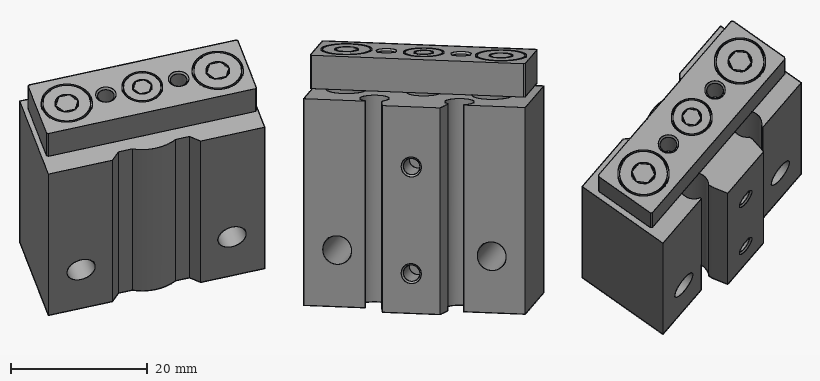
import cadquery as cq
import math


total_height = 37.0
plate_thickness = 5.0
rod_gap = 1.0
housing_height = total_height - plate_thickness - rod_gap
housing_depth = 15.0
housing_width = 33.0
half_depth = housing_depth / 2
half_width = housing_width / 2

rail_projection = 2.5
rail_front_half_width = 4.3
rail_root_half_width = 4.9
slot_radius = 2.15
slot_center_x = -5.35
slot_center_y = 6.33
slot_mouth_half_width = 7.33

recess_depth = 1.35
recess_floor_half_width = 5.4
belly_radius = 7.0

guide_spacing = 23.0
cross_hole_diameter = 4.3
cross_hole_height = 8.5
port_diameter = 2.45
port_mouth_diameter = 3.0
port_depth = 5.0
port_heights = (6.0, 21.98)
countersink_angle = 45

plate_depth = 10.0
plate_width = 32.0
plate_corner_chamfer = 0.22
plate_hole_spacing = 11.1
plate_hole_diameter = 2.45
plate_hole_mouth_diameter = 3.0
guide_rod_diameter = 6.0
guide_rod_offset = 1.3
piston_rod_diameter = 5.0

groove_depth = 0.5
hex_sides = 6
guide_head_hole = 7.5
guide_head_diameter = 7.0
guide_socket_diameter = 3.48
guide_hex_flats = 2.95
piston_head_hole = 6.0
piston_head_diameter = 5.5
piston_socket_diameter = 2.9
piston_hex_flats = 2.45


def countersunk_cutter(plane, points, diameter, mouth_diameter, depth):
    """Round holes along -normal from the plane, each with a conical mouth."""
    mouth_depth = (mouth_diameter - diameter) / 2
    bores = cq.Workplane(plane).pushPoints(points).circle(diameter / 2).extrude(-depth)
    mouths = (
        cq.Workplane(plane)
        .pushPoints(points)
        .circle(mouth_diameter / 2)
        .extrude(-mouth_depth, taper=countersink_angle)
    )
    return bores.union(mouths)


def housing_block():
    """Main block with the belly recess in its +X face."""
    floor_x = half_depth - recess_depth
    recess_mouth_half_width = recess_floor_half_width + recess_depth
    belly_half_width = math.sqrt(belly_radius**2 - floor_x**2)
    return (
        cq.Workplane("XY")
        .moveTo(-half_depth, -half_width)
        .lineTo(half_depth, -half_width)
        .lineTo(half_depth, -recess_mouth_half_width)
        .lineTo(floor_x, -recess_floor_half_width)
        .lineTo(floor_x, -belly_half_width)
        .threePointArc((belly_radius, 0), (floor_x, belly_half_width))
        .lineTo(floor_x, recess_floor_half_width)
        .lineTo(half_depth, recess_mouth_half_width)
        .lineTo(half_depth, half_width)
        .lineTo(-half_depth, half_width)
        .close()
        .extrude(housing_height)
    )


def rail():
    """Tapered rail that stands out from the -X face."""
    front_x = -half_depth - rail_projection
    return (
        cq.Workplane("XY")
        .polyline([
            (front_x, -rail_front_half_width),
            (-half_depth, -rail_root_half_width),
            (slot_center_x, -rail_root_half_width),
            (slot_center_x, rail_root_half_width),
            (-half_depth, rail_root_half_width),
            (front_x, rail_front_half_width),
        ])
        .close()
        .extrude(housing_height)
    )


def sensor_slot(side):
    """Full-height round slot with a narrower mouth; side is +1 or -1 along Y."""
    mouth_width = slot_mouth_half_width - rail_root_half_width
    mouth_y = (slot_mouth_half_width + rail_root_half_width) / 2
    mouth_length = slot_center_x + half_depth
    round_part = (
        cq.Workplane("XY")
        .center(slot_center_x, side * slot_center_y)
        .circle(slot_radius)
        .extrude(housing_height)
    )
    mouth = (
        cq.Workplane("XY")
        .center(slot_center_x - mouth_length / 2, side * mouth_y)
        .rect(mouth_length, mouth_width)
        .extrude(housing_height)
    )
    return round_part.union(mouth)


def cross_holes():
    """Two plain mounting holes through the housing along X."""
    return (
        cq.Workplane("YZ", origin=(-half_depth, 0, cross_hole_height))
        .pushPoints([(-guide_spacing / 2, 0), (guide_spacing / 2, 0)])
        .circle(cross_hole_diameter / 2)
        .extrude(housing_depth)
    )


def ports():
    """Two blind countersunk ports in the front face of the rail."""
    rail_front = cq.Plane(
        origin=(-half_depth - rail_projection, 0, 0),
        xDir=(0, -1, 0),
        normal=(-1, 0, 0),
    )
    points = [(0, height) for height in port_heights]
    return countersunk_cutter(rail_front, points, port_diameter, port_mouth_diameter, port_depth)


def make_housing():
    body = housing_block().union(rail())
    for side in (-1, 1):
        body = body.cut(sensor_slot(side))
    return body.cut(cross_holes()).cut(ports())


def rod(y, diameter):
    """Rod from the top of the housing up to the plate."""
    return (
        cq.Workplane("XY", origin=(0, y, housing_height))
        .circle(diameter / 2)
        .extrude(rod_gap)
    )


def screw_grooves(y, head_hole, head_diameter, socket_diameter, hex_flats):
    """Ring around a flush screw head, and the gap around the hexagon in its middle."""
    groove_floor = cq.Workplane("XY", origin=(0, y, total_height - groove_depth))
    half_hex_angle = 180 / hex_sides
    hex_corners = hex_flats / math.cos(math.pi / hex_sides)
    head_ring = groove_floor.circle(head_hole / 2).circle(head_diameter / 2).extrude(groove_depth)
    hexagon = groove_floor.polygon(hex_sides, hex_corners).extrude(groove_depth)
    hexagon = hexagon.rotate((0, y, 0), (0, y, 1), half_hex_angle)
    socket_gap = groove_floor.circle(socket_diameter / 2).extrude(groove_depth).cut(hexagon)
    return head_ring.union(socket_gap)


def plate_holes():
    """Two countersunk holes through the plate, between the screws."""
    plate_top = cq.Plane.XY(origin=(0, 0, total_height))
    points = [(0, -plate_hole_spacing / 2), (0, plate_hole_spacing / 2)]
    return countersunk_cutter(
        plate_top, points, plate_hole_diameter, plate_hole_mouth_diameter, plate_thickness
    )


def make_moving_plate():
    body = (
        cq.Workplane("XY", origin=(0, 0, housing_height + rod_gap))
        .rect(plate_depth, plate_width)
        .extrude(plate_thickness)
        .edges("|Z")
        .chamfer(plate_corner_chamfer)
        .cut(plate_holes())
        .union(rod(0, piston_rod_diameter))
        .cut(screw_grooves(
            0, piston_head_hole, piston_head_diameter, piston_socket_diameter, piston_hex_flats
        ))
    )
    for screw_y, rod_shift in ((-guide_spacing / 2, guide_rod_offset), (guide_spacing / 2, 0)):
        body = body.union(rod(screw_y + rod_shift, guide_rod_diameter))
        body = body.cut(screw_grooves(
            screw_y, guide_head_hole, guide_head_diameter, guide_socket_diameter, guide_hex_flats
        ))
    return body


housing = make_housing()
moving_plate = make_moving_plate()

result = cq.Compound.makeCompound([housing.solids().val(), moving_plate.solids().val()])